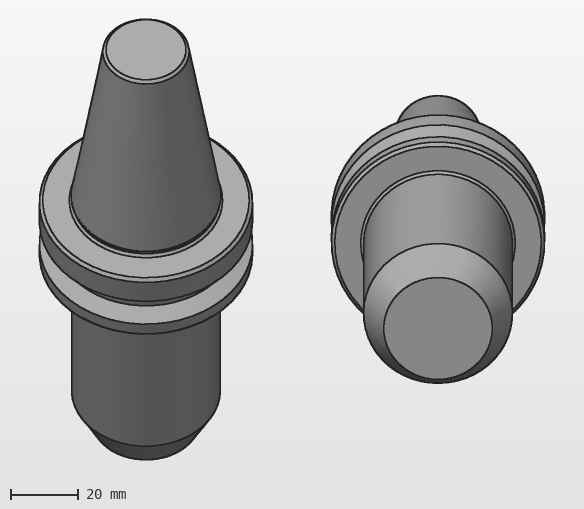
import cadquery as cq

total_height = 165.4
gauge_height = 100.0
flange_top = 98.0
flange_bottom = 73.0
nose_height = 12.9

flange_diameter = 63.0
flange_radius = flange_diameter / 2
body_radius = 22.0
nose_radius = 16.0
taper_radius = 22.2
neck_radius = 21.8
groove_radius = 26.6

groove_centre = 83.5
groove_floor_width = 5.0
groove_mouth_width = 10.3

flange_chamfer = 1.0
tip_chamfer = 0.8
corner_bevel = 0.8

taper_slope = 7 / 24 / 2
tip_radius = taper_radius - (total_height - gauge_height) * taper_slope
tip_edge_radius = tip_radius + tip_chamfer * taper_slope


def turned_solid(points):
    """Revolve a closed (radius, height) outline about the Z axis."""
    return cq.Workplane("XZ").polyline(points).close().revolve(360, (0, 0), (0, 1))


outline = [
    (0, 0),
    (nose_radius, 0),
    (body_radius, nose_height),
    (body_radius, flange_bottom - corner_bevel),
    (body_radius + corner_bevel, flange_bottom),
    (flange_radius - flange_chamfer, flange_bottom),
    (flange_radius, flange_bottom + flange_chamfer),
    (flange_radius, groove_centre - groove_mouth_width / 2),
    (groove_radius, groove_centre - groove_floor_width / 2),
    (groove_radius, groove_centre + groove_floor_width / 2),
    (flange_radius, groove_centre + groove_mouth_width / 2),
    (flange_radius, flange_top - flange_chamfer),
    (flange_radius - flange_chamfer, flange_top),
    (neck_radius + corner_bevel, flange_top),
    (neck_radius, flange_top + corner_bevel),
    (neck_radius, gauge_height),
    (taper_radius, gauge_height),
    (tip_edge_radius, total_height - tip_chamfer),
    (tip_radius - tip_chamfer, total_height),
    (0, total_height),
]

result = turned_solid(outline)